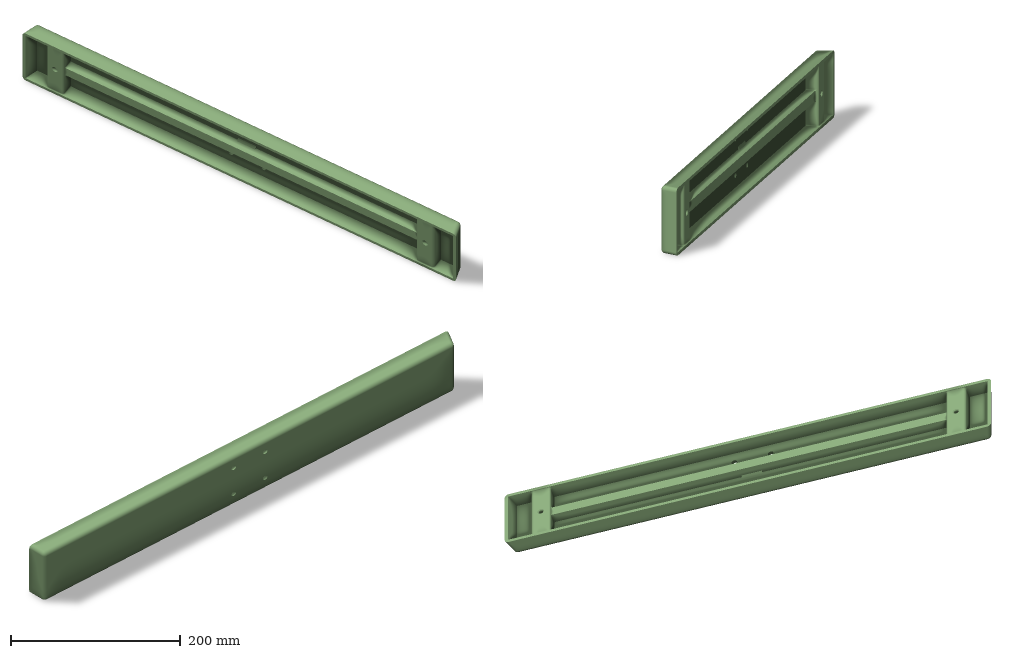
import cadquery as cq

length = 603.0
depth = 22.0
height = 83.0
end_taper = 6.5
wall = 4.0
floor = 4.0
outer_radius = 5.0

rim_y = -depth / 2
back_y = depth / 2
floor_y = back_y - floor
inner_height = height - 2 * wall

bar_center_x = 257.5
bar_width = 24.0
bar_recess = 1.5
bar_outer_edge_radius = 3.5
bar_inner_edge_radius = 2.5
bar_wall_fillet = 1.3

bar_y = rim_y + bar_recess
bar_inner_x = bar_center_x - bar_width / 2
bar_outer_x = bar_center_x + bar_width / 2

bar_hole_diameter = 5.5
bar_hole_depth = 9.0
bar_hole_chamfer = 1.0

rib_height = 12.5
rib_rise = 12.0
rib_end_fillet = 1.45
rib_y = floor_y - rib_rise

gusset_length = 25.5
gusset_spread = 3.5
gusset_rise = 2.5

mount_spacing = 45.0
mount_diameter = 6.5

pick_margin = 0.05


def tapered_slab(rim_length, y_back, z_size):
    """Slab from the rim to y_back whose ends follow the lean of the tray ends."""
    rim_x = rim_length / 2
    back_x = rim_x - end_taper * (y_back - rim_y) / depth
    return (
        cq.Workplane("XY")
        .polyline([(-rim_x, rim_y), (rim_x, rim_y), (back_x, y_back), (-back_x, y_back)])
        .close()
        .extrude(z_size / 2, both=True)
    )


def block(x0, x1, y0, y1, z_size):
    """Box spanning x0..x1 and y0..y1, centred on Z = 0."""
    return cq.Workplane("XY").box(x1 - x0, y1 - y0, z_size).translate(((x0 + x1) / 2, (y0 + y1) / 2, 0))


def make_tray():
    outside = tapered_slab(length, back_y, height)
    outside = outside.edges("not <Y").fillet(outer_radius)
    cavity = tapered_slab(length - 2 * wall, floor_y, inner_height)
    return outside.cut(cavity)


def make_crossbar():
    """Crossbar at the +X end, long edges rounded."""
    bar = block(bar_inner_x, bar_outer_x, bar_y, floor_y, inner_height)
    bar = bar.faces(">X").edges("<Y").fillet(bar_outer_edge_radius)
    return bar.faces("<X").edges("<Y").fillet(bar_inner_edge_radius)


def make_gussets():
    """Triangular prisms filling the corners between the rib sides and the floor."""
    rib_side = rib_height / 2
    spread = rib_side + gusset_spread
    return (
        cq.Workplane("YZ")
        .polyline([
            (floor_y, -spread),
            (floor_y - gusset_rise, -rib_side),
            (floor_y - gusset_rise, rib_side),
            (floor_y, spread),
        ])
        .close()
        .extrude(gusset_length / 2, both=True)
    )


def bar_hole(x):
    """Blind hole with a chamfered mouth, going in +Y from the bar face."""
    radius = bar_hole_diameter / 2
    mouth = radius + bar_hole_chamfer
    profile = (
        cq.Workplane("XY", origin=(x, bar_y, 0))
        .polyline([
            (0, 0),
            (mouth, 0),
            (radius, bar_hole_chamfer),
            (radius, bar_hole_depth),
            (0, bar_hole_depth),
        ])
        .close()
    )
    return profile.revolve(360, (0, 0, 0), (0, 1, 0))


def fillet_rib_ends(body):
    """Blend the rib into the inner side of both crossbars."""
    for side in (-1, 1):
        x = side * bar_inner_x
        around_rib_end = cq.selectors.BoxSelector(
            (x - pick_margin, rib_y - pick_margin, -rib_height / 2 - pick_margin),
            (x + pick_margin, floor_y - pick_margin, rib_height / 2 + pick_margin),
        )
        body = body.edges(around_rib_end).fillet(rib_end_fillet)
    return body


def fillet_bar_faces(body):
    """Blend both crossbar faces into the long walls."""
    for side in (-1, 1):
        for end in (-1, 1):
            x = side * bar_center_x
            z = end * inner_height / 2
            along_wall = cq.selectors.BoxSelector(
                (x - bar_width / 2, bar_y - pick_margin, z - pick_margin),
                (x + bar_width / 2, bar_y + pick_margin, z + pick_margin),
            )
            body = body.edges(along_wall).fillet(bar_wall_fillet)
    return body


crossbar = make_crossbar()
rib = block(-bar_inner_x, bar_inner_x, rib_y, floor_y, rib_height)
result = make_tray().union(crossbar).union(crossbar.mirror("YZ")).union(rib)
result = fillet_rib_ends(result)
result = fillet_bar_faces(result)
result = result.union(make_gussets())

for side in (-1, 1):
    result = result.cut(bar_hole(side * bar_center_x))

mount_holes = (
    cq.Workplane("XZ", origin=(0, floor_y, 0))
    .rect(mount_spacing, mount_spacing, forConstruction=True)
    .vertices()
    .circle(mount_diameter / 2)
    .extrude(-floor)
)
result = result.cut(mount_holes)